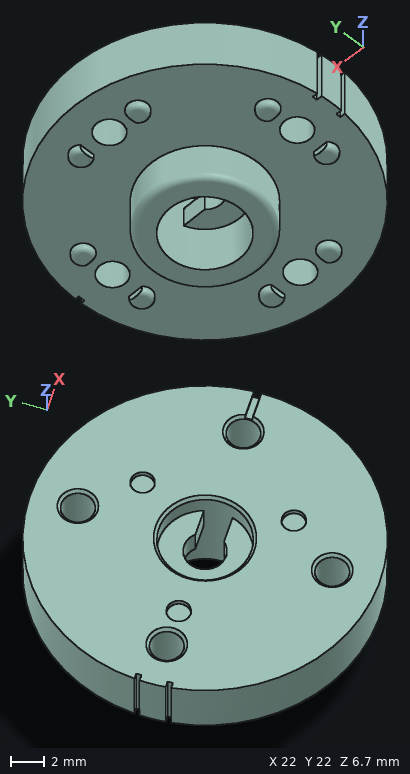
import cadquery as cq
import math

disc_diameter = 22.0
disc_radius = disc_diameter / 2
disc_height = 3.85

hub_diameter = 9.02
hub_height = 2.85
hub_edge_radius = 0.45
part_height = disc_height + hub_height

bore_diameter = 5.8
bore_depth = 1.4
bore_chamfer = 0.2
web_thickness = 1.58
key_hole_diameter = 2.65
key_slot_width = 1.8
cavity_depth = part_height - bore_depth - web_thickness

hole_circle_radius = 8.0
hole_diameter = 2.1
hole_chamfer = 0.2

dimple_circle_radius = 5.5
dimple_diameter = 1.5
dimple_depth = 0.35
dimple_angles = (60, 180, 300)

foot_diameter = 1.56
foot_height = 0.5
foot_edge_radius = 0.35
foot_offset = 2.46
foot_flat_offset = 1.94

notch_width = 0.33
notch_offset = 1.0
notch_depth = 0.45
pointer_width = 0.46
pointer_notch_depth = 0.3
pointer_groove_depth = 0.15


def cylinder_down(diameter, top, height, x=0, y=0):
    """Vertical cylinder that reaches down from the height `top`."""
    return cq.Workplane("XY", origin=(x, y, top)).circle(diameter / 2).extrude(-height)


def box_down(x_start, x_end, y_centre, width, top, height):
    """Block along X that reaches down from the height `top`."""
    length = x_end - x_start
    middle = (x_start + length / 2, y_centre, top)
    return cq.Workplane("XY", origin=middle).rect(length, width).extrude(-height)


def countersunk_hole(diameter, depth, chamfer, x=0, y=0):
    """Cutter for a hole from the top face with a 45 degree chamfer at its mouth."""
    cone = cq.Solid.makeCone(
        diameter / 2, diameter / 2 + chamfer, chamfer, pnt=cq.Vector(x, y, -chamfer)
    )
    return cylinder_down(diameter, 0, depth, x, y).union(cq.Workplane(obj=cone))


def four_around(shape):
    """Yield the shape turned to each quarter about the Z axis."""
    for quarter in range(4):
        yield shape.rotate((0, 0, 0), (0, 0, 1), 90 * quarter)


def foot(side):
    """Foot beside the hole on +X, with its flat facing that hole."""
    post = cylinder_down(foot_diameter, -disc_height, foot_height, hole_circle_radius, side * foot_offset)
    post = post.faces("<Z").edges().fillet(foot_edge_radius)
    trim = box_down(
        hole_circle_radius - foot_diameter,
        hole_circle_radius + foot_diameter,
        0,
        2 * foot_flat_offset,
        -disc_height,
        foot_height,
    )
    return post.cut(trim)


hub = cylinder_down(hub_diameter, 0, part_height).faces("<Z").edges().fillet(hub_edge_radius)
body = cylinder_down(disc_diameter, 0, disc_height).union(hub)

for side in (-1, 1):
    for placed_foot in four_around(foot(side)):
        body = body.union(placed_foot)

key_slot = box_down(0, bore_diameter / 2, 0, key_slot_width, 0, part_height)
key_slot = key_slot.intersect(cylinder_down(bore_diameter, 0, part_height))
body = body.cut(countersunk_hole(bore_diameter, bore_depth, bore_chamfer))
body = body.cut(cylinder_down(key_hole_diameter, 0, part_height))
body = body.cut(key_slot)
body = body.cut(cylinder_down(bore_diameter, cavity_depth - part_height, cavity_depth))

hole = countersunk_hole(hole_diameter, disc_height, hole_chamfer, hole_circle_radius)
for placed_hole in four_around(hole):
    body = body.cut(placed_hole)

for angle in dimple_angles:
    dimple_x = dimple_circle_radius * math.cos(math.radians(angle))
    dimple_y = dimple_circle_radius * math.sin(math.radians(angle))
    body = body.cut(cylinder_down(dimple_diameter, 0, dimple_depth, dimple_x, dimple_y))

for side in (-1, 1):
    body = body.cut(
        box_down(-disc_radius, notch_depth - disc_radius, side * notch_offset, notch_width, 0, disc_height)
    )

pointer_floor = disc_radius - pointer_notch_depth
body = body.cut(box_down(pointer_floor, disc_radius, 0, pointer_width, 0, disc_height))
body = body.cut(box_down(hole_circle_radius, disc_radius, 0, pointer_width, 0, pointer_groove_depth))

result = body